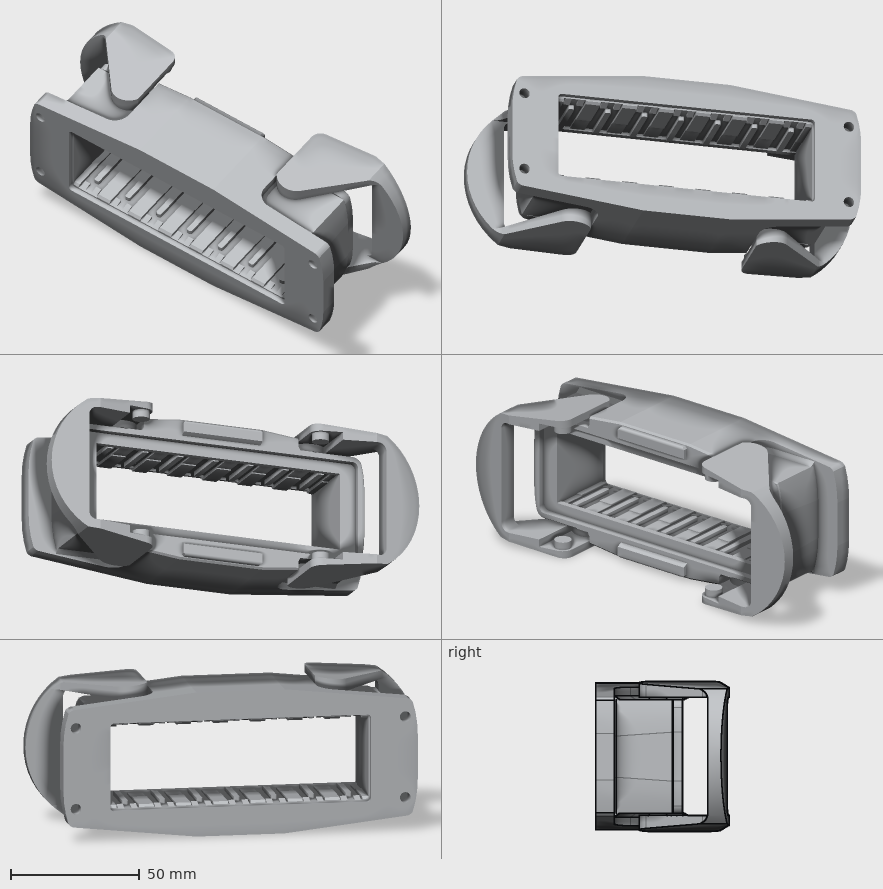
import cadquery as cq
import math


flange_half_length = 69.9
flange_half_height = 28.57
flange_thickness = 7.2
flange_top_half = 17.4
flange_end_half = 9.1
flange_corner = (67.9, 21.9)
flange_corner_radius = 3.8
shoulder_x = 66.0
side_slope = 0.11
screw_hole_diameter = 4.2
screw_hole_x = 65.0
screw_hole_z = 16.0
screw_hole_depth = 6.2

body_depth = 33.9
body_half_length = 60.5
body_half_height = 22.0
body_corner_x = 58.5
body_flat_front = 8.0
body_flat_back = 9.5
shoulder_y = 30.2
shoulder_chamfer = 0.5
root_length = 0.8
root_inset = 0.2
rim_inset = 0.5
rim_corner_radius = 3.8
rim_chamfer = 0.3

block_half_length = 32.3
block_chamfer = 0.8
recess_corner_radius = 6.2
recess_foot_height = 1.5
recess_foot_at_block = 0.8
recess_foot_at_flange = 2.2

tab_half_length = 16.5
tab_inner_z = 21.9
tab_outer_z = 27.5
tab_end_y = 36.0
tab_bevel = 1.1
tab_side_chamfer = 1.0

mouth_half_length = 51.5
mouth_half_height = 17.4
mouth_depth = 2.3
mouth_corner_radius = 1.5
cavity_half_length = 51.0
cavity_half_height = 16.8
cavity_end_y = 28.3
exit_half_height = 15.48
pocket_start_y = 30.8
pocket_half_length = 57.3
pocket_half_height = 19.9
pocket_corner_radius = 2.3

guide_pitch = 14.69
guide_count = 7
ridge_width = 2.3
ridge_start_y = 8.0
ridge_top_z = 15.02
ridge_tip_radius = 0.8
pad_width = 5.9
pad_step_y = 18.5
pad_front_z = 15.5
pad_rear_z = 16.0
pad_bevel = 1.0
ramp_width = 2.5
ramp_offset = 2.6
ramp_length = 3.7
ramp_top_z = 15.7

lever_tip_x = 77.0
lever_inner_x = 33.1
lever_peak = (57.9, 51.9)
lever_roof_slope = 0.17
lever_roof_radius = 4.6
lever_handle_y = 43.5
lever_slant_angle = 50
lever_bend_radius = 5.5
pivot_x = 39.5
pivot_y = 24.2
pivot_radius = 7.32
pivot_pin_diameter = 6.8
arm_inner_z = 23.0
relief_z = 26.0
relief_end_x = 44.7
latch_stud_diameter = 6.8
latch_stud_x = 37.5
latch_stud_y = 43.7
arm_outer_z = 29.18
arm_end_x = 62.7
arm_end_z = 26.2
window_end_x = 62.2
window_corner_radius = 3.1

overlap = 1.5


def both_x(shape):
    return shape.union(shape.mirror("YZ"))


def both_z(shape):
    return shape.union(shape.mirror("XY"))


def slab(half_x, half_z, y0, y1):
    """Block centred on the Y axis, from y0 to y1."""
    return cq.Workplane("XY").box(2 * half_x, y1 - y0, 2 * half_z).translate((0, (y0 + y1) / 2, 0))


def flange_plate(depth):
    """Flange outline extruded from Y = 0 to the given depth."""
    shoulder_z = flange_half_height - side_slope * (shoulder_x - flange_top_half)
    quarter = (
        cq.Workplane("XZ")
        .lineTo(flange_half_length, 0)
        .lineTo(flange_half_length, flange_end_half)
        .tangentArcPoint(flange_corner, relative=False)
        .radiusArc((shoulder_x, shoulder_z), -flange_corner_radius)
        .lineTo(flange_top_half, flange_half_height)
        .lineTo(0, flange_half_height)
        .close()
        .extrude(-depth)
    )
    return both_z(both_x(quarter))


def make_flange():
    screw_holes = (
        cq.Workplane("XZ")
        .rect(2 * screw_hole_x, 2 * screw_hole_z, forConstruction=True)
        .vertices()
        .circle(screw_hole_diameter / 2)
        .extrude(-screw_hole_depth)
    )
    return flange_plate(flange_thickness).cut(screw_holes)


def body_quarter(plane, flat, inset=0):
    """Quarter of the body section, its end a flat followed by an arc, set in along X."""
    return (
        plane.moveTo(0, 0)
        .lineTo(body_half_length - inset, 0)
        .lineTo(body_half_length - inset, flat)
        .tangentArcPoint((body_corner_x - inset, body_half_height), relative=False)
        .lineTo(0, body_half_height)
        .close()
    )


def make_body():
    root_end_y = flange_thickness + root_length
    root = body_quarter(cq.Workplane("XZ"), body_flat_front, root_inset).extrude(-root_end_y)
    front = body_quarter(cq.Workplane("XZ", origin=(0, root_end_y, 0)), body_flat_front)
    back = body_quarter(front.workplane(offset=root_end_y - shoulder_y), body_flat_back)
    body = both_z(both_x(back.loft(ruled=True))).faces(">Y").chamfer(shoulder_chamfer)
    rim = body_quarter(cq.Workplane("XZ", origin=(0, shoulder_y, 0)), body_flat_back, rim_inset)
    rim = both_z(both_x(rim.extrude(shoulder_y - body_depth)))
    for side in (">Z", "<Z"):
        rim = rim.faces(side).edges("|Y").fillet(rim_corner_radius)
    rim = rim.faces(">Y").chamfer(rim_chamfer)
    return both_z(both_x(root)).union(body).union(rim)


def recess_outline(plane, block_gap, flange_gap):
    """Recess seen along Z, its walls set off from the block and the flange."""
    near_x = block_half_length + block_gap
    near_y = flange_thickness + flange_gap
    far_x = flange_half_length + overlap
    far_y = body_depth + overlap
    return (
        plane.moveTo(far_x, near_y)
        .lineTo(near_x + recess_corner_radius, near_y)
        .radiusArc((near_x, near_y + recess_corner_radius), recess_corner_radius)
        .lineTo(near_x, far_y)
        .lineTo(far_x, far_y)
        .close()
    )


def recess_cutter():
    """Space for the lever arm at +X, +Z: upright walls on a sloping foot."""
    floor_plane = cq.Workplane("XY", origin=(0, 0, body_half_height))
    wall_plane = cq.Workplane("XY", origin=(0, 0, body_half_height + recess_foot_height))
    walls = recess_outline(wall_plane, 0, 0).extrude(flange_half_height - body_half_height)
    foot = recess_outline(floor_plane, recess_foot_at_block, recess_foot_at_flange)
    foot = recess_outline(foot.workplane(offset=recess_foot_height), 0, 0).loft(ruled=True)
    return walls.union(foot)


def make_middle_block():
    corner_x = block_half_length + recess_foot_at_block + recess_corner_radius
    foot_end_y = flange_thickness + recess_foot_at_flange
    block = flange_plate(body_depth).intersect(slab(corner_x, flange_half_height, 0, body_depth))
    block = block.faces(">Y").chamfer(block_chamfer)
    foot = flange_plate(foot_end_y).intersect(slab(body_corner_x, flange_half_height, 0, foot_end_y))
    block = block.union(foot)
    return block.cut(both_z(both_x(recess_cutter())))


def make_stop_tabs():
    tab = (
        cq.Workplane("YZ")
        .moveTo(body_depth - overlap, tab_inner_z)
        .lineTo(body_depth, tab_inner_z)
        .lineTo(tab_end_y, tab_inner_z + tab_bevel)
        .lineTo(tab_end_y, tab_outer_z)
        .lineTo(body_depth - overlap, tab_outer_z)
        .close()
        .extrude(tab_half_length, both=True)
        .edges("|Y and >Z")
        .chamfer(tab_side_chamfer)
        .edges("|X and >Y and >Z")
        .fillet(tab_bevel)
    )
    return both_z(tab)


def make_opening():
    mouth = (
        slab(mouth_half_length, mouth_half_height, 0, mouth_depth)
        .edges("|Y")
        .fillet(mouth_corner_radius)
    )
    cavity = slab(cavity_half_length, cavity_half_height, mouth_depth, cavity_end_y)
    back_exit = slab(cavity_half_length, exit_half_height, cavity_end_y, pocket_start_y)
    pocket = (
        slab(pocket_half_length, pocket_half_height, pocket_start_y, body_depth + overlap)
        .edges("|Y")
        .fillet(pocket_corner_radius)
    )
    return mouth.union(cavity).union(back_exit).union(pocket)


def floor_bar(x, width, profile):
    """Bar of the given (y, z) profile on the lower cavity wall."""
    root_z = -cavity_half_height - overlap
    points = [(profile[0][0], root_z)] + profile + [(profile[-1][0], root_z)]
    return cq.Workplane("YZ").workplane(offset=x - width / 2).polyline(points).close().extrude(width)


def make_ridge(x):
    profile = [(ridge_start_y, -ridge_top_z), (cavity_end_y, -ridge_top_z)]
    return floor_bar(x, ridge_width, profile).edges("|Z and <Y").fillet(ridge_tip_radius)


def make_ramp(x):
    foot = (mouth_depth, -cavity_half_height)
    top = (mouth_depth + ramp_length, -ramp_top_z)
    return floor_bar(x, ramp_width, [foot, top])


def make_pad(x):
    profile = [
        (mouth_depth, -pad_front_z - pad_bevel),
        (mouth_depth + pad_bevel, -pad_front_z),
        (pad_step_y, -pad_front_z),
        (pad_step_y, -pad_rear_z),
        (cavity_end_y, -pad_rear_z),
    ]
    return floor_bar(x, pad_width, profile)


def make_guides():
    first_x = -guide_pitch * (guide_count - 1) / 2
    guides = make_pad(first_x - guide_pitch / 2)
    for index in range(guide_count):
        x = first_x + index * guide_pitch
        guides = guides.union(make_ridge(x)).union(make_pad(x + guide_pitch / 2))
        for side in (-1, 1):
            guides = guides.union(make_ramp(x + side * ramp_offset))
    inside_walls = slab(cavity_half_length + overlap, cavity_half_height + overlap, 0, body_depth)
    return both_z(guides.intersect(inside_walls))


def lever_side():
    """Lever at +X as a plate along Z: roof, handle, slanted underside and rounded pivot end."""
    peak_x, peak_y = lever_peak
    slant = math.radians(lever_slant_angle)
    tangent_x = pivot_x + pivot_radius * math.sin(slant)
    tangent_y = pivot_y - pivot_radius * math.cos(slant)
    bend_x = tangent_x + (lever_handle_y - tangent_y) / math.tan(slant)
    bend_run = lever_bend_radius * math.tan(slant / 2)
    bend_end = (bend_x - bend_run * math.cos(slant), lever_handle_y - bend_run * math.sin(slant))
    inner_drop = math.sqrt(pivot_radius**2 - (pivot_x - lever_inner_x) ** 2)
    roof_inner_y = peak_y - lever_roof_slope * (peak_x - lever_inner_x)
    roof_tip_y = peak_y - lever_roof_slope * (lever_tip_x - peak_x)
    plate = (
        cq.Workplane("XY")
        .moveTo(lever_inner_x, roof_inner_y)
        .lineTo(peak_x, peak_y)
        .lineTo(lever_tip_x, roof_tip_y)
        .lineTo(lever_tip_x, lever_handle_y)
        .lineTo(bend_x + bend_run, lever_handle_y)
        .tangentArcPoint(bend_end, relative=False)
        .lineTo(tangent_x, tangent_y)
        .threePointArc((pivot_x, pivot_y - pivot_radius), (lever_inner_x, pivot_y - inner_drop))
        .close()
        .extrude(arm_outer_z, both=True)
    )
    roof_corner = cq.selectors.NearestToPointSelector((lever_inner_x, roof_inner_y, 0))
    return plate.edges(roof_corner).fillet(lever_roof_radius)


def round_bar(x, y, diameter, z0, z1):
    """Cylinder along Z from z0 to z1."""
    return cq.Workplane("XY", origin=(x, y, z0)).circle(diameter / 2).extrude(z1 - z0)


def arm_relief():
    """Cut that thins the arm at +Z beside the middle block, leaving the round pivot boss full."""
    height = relief_z - arm_inner_z
    length = relief_end_x - lever_inner_x
    width = lever_peak[1] - pivot_y
    corner = (lever_inner_x, pivot_y, arm_inner_z)
    relief = cq.Workplane("XY").box(length, width, height, centered=False).translate(corner)
    return relief.cut(round_bar(pivot_x, pivot_y, 2 * pivot_radius, arm_inner_z, relief_z))


def make_lever():
    """Lever at +X: two sloping arms joined by an arched handle bar."""
    envelope = (
        cq.Workplane("XZ")
        .moveTo(lever_inner_x, -arm_outer_z)
        .lineTo(arm_end_x, -arm_end_z)
        .threePointArc((lever_tip_x, 0), (arm_end_x, arm_end_z))
        .lineTo(lever_inner_x, arm_outer_z)
        .close()
        .extrude(-lever_peak[1] - overlap)
    )
    window = (
        slab(window_end_x, arm_inner_z, 0, lever_peak[1] + overlap)
        .edges("|Y and >X")
        .fillet(window_corner_radius)
    )
    bar_front = slab(lever_tip_x, arm_inner_z, 0, lever_handle_y)
    lever = lever_side().intersect(envelope).cut(window).cut(bar_front).cut(both_z(arm_relief()))
    pin = round_bar(pivot_x, pivot_y, pivot_pin_diameter, body_half_height - overlap, relief_z)
    stud = round_bar(latch_stud_x, latch_stud_y, latch_stud_diameter, arm_inner_z, relief_z + overlap)
    return lever.union(both_z(pin.union(stud)))


housing = make_flange().union(make_body()).union(make_middle_block()).union(make_stop_tabs())
housing = housing.cut(make_opening()).union(make_guides())
result = housing.union(both_x(make_lever()))